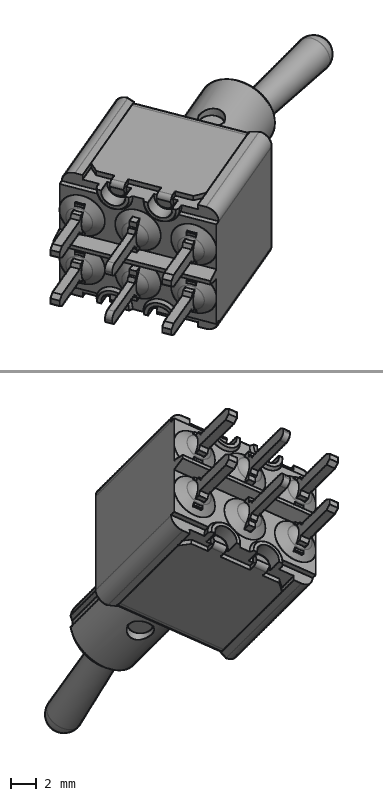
import cadquery as cq
import math

overall_length = 36.15

case_width = 13.2
case_height = 11.85
corner_radius = 1.1
rail_length = 10.5
core_length = 10.92
core_height = case_height - 2 * corner_radius

cover_width = 9.7
cover_thickness = 0.45
cover_length = 9.6
cover_bend_radius = 0.75
cover_corner = 0.75
rail_nose_width = 0.72
rail_nose_length = 0.33
floor_height = case_height / 2 - cover_thickness

tab_spacing = 3.95
tab_width = 1.2
tab_end = 10.5
tab_drop = 1.3
tab_tip_chamfer = 0.3
tab_lean = 0.25
collar_base_radius = 1.52
collar_end_radius = 1.35
collar_end = 11.2
collar_center_height = 5.35
tab_pocket_radius = 1.0
tab_pocket_start = 10.0

rib_base_width = 0.98
rib_tip_width = 0.35
rib_tip = 12.1

column_spacing = 4.7
row_spacing = 4.7
seal_base_radius = 1.9
seal_ring_radius = 1.12
seal_ring = 11.55
seal_apex = 12.05
side_terminal_thickness = 0.8
middle_terminal_thickness = 0.6
shoulder_width = 2.9
side_shoulder_end = 11.45
middle_shoulder_end = 11.9
neck_width = 1.88
neck_end = 12.3
neck_taper_length = 0.18
pin_width = 1.12
side_pin_end = 16.27
pin_tip_length = 0.45
pin_tip_width = 0.55
middle_tip_radius = 0.55

flange_radius = 4.0
flange_length = 1.0
bushing_radius = 3.2
bushing_end = 9.08
bushing_chamfer = 0.4
dimple_rim_radius = 1.1
dimple_floor_radius = 0.98
dimple_depth = 0.6
keyway_width = 1.2
keyway_depth = 0.5
keyway_straight_end = 2.8
keyway_runout_end = 0.18

pivot_y = 3.6
lever_angle = 9.8
lever_length = 14.55
lever_root_radius = 1.12
lever_tip_radius = 1.5

lever_tip_y = pivot_y + lever_length * math.cos(math.radians(lever_angle)) + lever_tip_radius
middle_pin_end = overall_length - lever_tip_y


def block(width, height, start, end):
    """Box centered on the Y axis, between two depths behind the bushing-side face."""
    return cq.Workplane("XY").box(width, end - start, height).translate((0, -(start + end) / 2, 0))


def cylinder(radius, start_y, end_y):
    """Cylinder on the Y axis."""
    return cq.Workplane("XZ", origin=(0, start_y, 0)).circle(radius).extrude(start_y - end_y)


def top_and_bottom(shape):
    """The shape for the top of the switch, and its mirror image for the bottom."""
    return shape, shape.mirror("XY")


def make_case():
    rails = block(case_width, case_height, 0, rail_length).edges("|Y").fillet(corner_radius)
    case = rails.union(block(case_width, core_height, 0, core_length))
    bridge_width = tab_spacing + 2 * collar_end_radius
    case = case.union(block(bridge_width, 2 * floor_height, 0, core_length))
    half_width = cover_width / 2
    recess = (
        cq.Workplane("XY", origin=(0, 0, floor_height))
        .polyline([
            (-half_width - rail_nose_width, 0),
            (half_width + rail_nose_width, 0),
            (half_width, -rail_nose_length),
            (half_width, -core_length),
            (-half_width, -core_length),
            (-half_width, -rail_nose_length),
        ])
        .close()
        .extrude(cover_thickness)
    )
    for cutter in top_and_bottom(recess):
        case = case.cut(cutter)
    return case


def make_cover():
    """U-shaped sheet with clipped end corners and two crimp tabs on each leg."""
    outside = block(cover_width, case_height, 0, cover_length)
    outside = outside.faces(">Y").edges("|X").fillet(cover_bend_radius)
    outside = outside.faces("<Y").edges("|Z").chamfer(cover_corner)
    inside = block(case_width, 2 * floor_height, cover_thickness, core_length)
    inside = inside.faces(">Y").edges("|X").fillet(cover_bend_radius - cover_thickness)
    cover = outside.cut(inside)
    for x in (-tab_spacing / 2, tab_spacing / 2):
        for tab in top_and_bottom(make_tab().translate((x, 0, 0))):
            cover = cover.union(tab)
    return cover


def make_tab():
    top = case_height / 2
    inner_end = tab_end - cover_thickness
    tab = (
        cq.Workplane("YZ")
        .moveTo(-cover_length + cover_thickness, floor_height)
        .lineTo(-inner_end, floor_height)
        .lineTo(-inner_end + tab_lean, top - tab_drop)
        .lineTo(-tab_end + tab_lean, top - tab_drop)
        .lineTo(-tab_end, floor_height)
        .radiusArc((-inner_end, top), cover_thickness)
        .lineTo(-cover_length + cover_thickness, top)
        .close()
        .extrude(tab_width / 2, both=True)
    )
    return tab.faces("<Z").edges("not |X").chamfer(tab_tip_chamfer)


def make_collar():
    """Half-round collar under a tab, cut off at the recess floor."""
    collar = (
        cq.Workplane("XZ", origin=(0, -rail_length, collar_center_height))
        .circle(collar_base_radius)
        .extrude(core_length - rail_length)
        .faces("<Y")
        .workplane()
        .circle(collar_base_radius)
        .workplane(offset=collar_end - core_length)
        .circle(collar_end_radius)
        .loft()
    )
    return collar.intersect(block(case_width, 2 * floor_height, 0, collar_end))


def make_tab_pocket():
    return (
        cq.Workplane("XZ", origin=(0, -tab_pocket_start, collar_center_height))
        .circle(tab_pocket_radius)
        .extrude(collar_end - tab_pocket_start)
    )


def make_rib():
    return (
        cq.Workplane("YZ")
        .polyline([
            (-core_length, -rib_base_width / 2),
            (-core_length, rib_base_width / 2),
            (-rib_tip, rib_tip_width / 2),
            (-rib_tip, -rib_tip_width / 2),
        ])
        .close()
        .extrude(case_width / 2, both=True)
    )


def make_seal():
    """Mound of sealant around a terminal: a flared skirt below a domed cap."""
    cap_rise = seal_apex - seal_ring
    cap_radius = (seal_ring_radius**2 + cap_rise**2) / (2 * cap_rise)
    profile = (
        cq.Workplane("XY")
        .moveTo(0, -rail_length)
        .lineTo(seal_base_radius, -rail_length)
        .lineTo(seal_base_radius, -core_length)
        .lineTo(seal_ring_radius, -seal_ring)
        .radiusArc((0, -seal_apex), cap_radius)
        .close()
    )
    return profile.revolve(360, (0, 0, 0), (0, 1, 0))


def tapered_bar(thickness, width, end, tip_length, tip_width):
    """Flat bar along -Y whose last stretch tapers in height."""
    return (
        cq.Workplane("YZ")
        .polyline([
            (-rail_length, -width / 2),
            (-end + tip_length, -width / 2),
            (-end, -tip_width / 2),
            (-end, tip_width / 2),
            (-end + tip_length, width / 2),
            (-rail_length, width / 2),
        ])
        .close()
        .extrude(thickness / 2, both=True)
    )


def make_terminal_root(thickness, shoulder_end):
    shoulder = block(thickness, shoulder_width, rail_length, shoulder_end)
    return shoulder.union(tapered_bar(thickness, neck_width, neck_end, neck_taper_length, pin_width))


def make_side_terminal():
    thickness = side_terminal_thickness
    pin = tapered_bar(thickness, pin_width, side_pin_end, pin_tip_length, pin_tip_width)
    return make_terminal_root(thickness, side_shoulder_end).union(pin)


def make_middle_terminal():
    pin = block(middle_terminal_thickness, pin_width, rail_length, middle_pin_end)
    pin = pin.faces("<Y").edges("|X").fillet(middle_tip_radius)
    return make_terminal_root(middle_terminal_thickness, middle_shoulder_end).union(pin)


def make_keyway():
    """Slot along the -X side of the bushing that runs out through the flange in an arc."""
    floor_x = -(bushing_radius - keyway_depth)
    rise = flange_radius - bushing_radius + keyway_depth
    run = keyway_straight_end - keyway_runout_end
    runout_radius = (run**2 + rise**2) / (2 * rise)
    return (
        cq.Workplane("XY")
        .moveTo(floor_x, bushing_end)
        .lineTo(floor_x, keyway_straight_end)
        .radiusArc((-flange_radius, keyway_runout_end), runout_radius)
        .lineTo(-flange_radius, bushing_end)
        .close()
        .extrude(keyway_width / 2, both=True)
    )


def make_bushing():
    bushing = cylinder(bushing_radius, 0, bushing_end).faces(">Y").chamfer(bushing_chamfer)
    bushing = bushing.union(cylinder(flange_radius, 0, flange_length)).cut(make_keyway())
    dimple = (
        cq.Workplane("XY", origin=(0, pivot_y, bushing_radius - dimple_depth))
        .circle(dimple_floor_radius)
        .workplane(offset=dimple_depth)
        .circle(dimple_rim_radius)
        .loft()
    )
    for cutter in top_and_bottom(dimple):
        bushing = bushing.cut(cutter)
    return bushing


def make_lever():
    """Tapered lever with a round tip, leaning toward +X."""
    profile = (
        cq.Workplane("XY")
        .lineTo(lever_root_radius, 0)
        .lineTo(lever_tip_radius, lever_length)
        .radiusArc((0, lever_length + lever_tip_radius), -lever_tip_radius)
        .close()
    )
    lever = profile.revolve(360, (0, 0, 0), (0, 1, 0))
    return lever.rotate((0, 0, 0), (0, 0, 1), -lever_angle).translate((0, pivot_y, 0))


def make_frame():
    """Metal body: cover, bushing and lever."""
    return make_cover().union(make_bushing()).union(make_lever())


def make_housing():
    """Plastic body: case with its collars, rib, seals and terminals."""
    housing = make_case().union(make_rib())
    for x in (-tab_spacing / 2, tab_spacing / 2):
        for collar in top_and_bottom(make_collar().translate((x, 0, 0))):
            housing = housing.union(collar)
        for pocket in top_and_bottom(make_tab_pocket().translate((x, 0, 0))):
            housing = housing.cut(pocket)

    seal_limit = block(case_width, case_height, 0, seal_apex)
    for z in (-row_spacing / 2, row_spacing / 2):
        for x in (-column_spacing, 0, column_spacing):
            terminal = make_side_terminal() if x else make_middle_terminal()
            seal = make_seal().translate((x, 0, z)).intersect(seal_limit)
            housing = housing.union(seal).union(terminal.translate((x, 0, z)))
    return housing


frame = make_frame()
housing = make_housing().cut(frame)

result = cq.Compound.makeCompound([housing.val(), frame.val()])